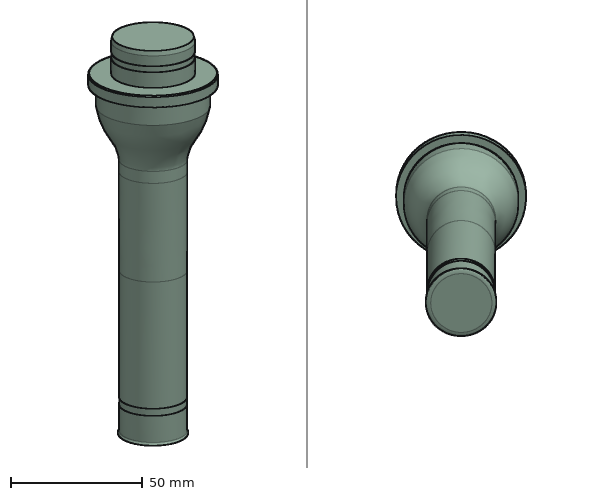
import cadquery as cq

total_height = 162.0

plug_radius = 16.0
plug_edge_height = 1.8
plug_edge_inset = 0.5
plug_band_radius = 15.9
plug_band_top = total_height - 6.2
plug_band_height = 2.5
plug_height = 14.9

flange_radius = 24.8
flange_thickness = 4.7
flange_chamfer = 0.5
flange_top = total_height - plug_height
joint_height = flange_top - flange_thickness

head_radius = 21.9
head_top_radius = 43.0 / 2
head_chamfer_height = 0.8
head_straight_height = 8.3
shoulder_top = joint_height - head_straight_height

shoulder_height = 22.0
neck_radius = 13.1
shoulder_curve = [(18.3, 10.2), (14.4, 16.7), (13.5, 20.0)]
neck_top = shoulder_top - shoulder_height
neck_height = 4.9
neck_bottom = neck_top - neck_height

shaft_radius = 26.1 / 2
taper_height = 40.2
taper_bottom = neck_bottom - taper_height
shaft_band_depth = 0.08
shaft_band_bottom = 12.5
shaft_band_height = 2.9

lip_radius = 13.5
lip_top = 1.8
lip_height = 1.0
foot_radius = 11.7


def revolve_profile(profile):
    return profile.close().revolve(360, (0, 0, 0), (0, 1, 0))


def band_groove(outer_radius, inner_radius, bottom, height):
    """Ring of material removed to leave a recessed band."""
    ring = cq.Workplane("XY").workplane(offset=bottom)
    return ring.circle(outer_radius).circle(inner_radius).extrude(height)


def add_shoulder(profile):
    """Append the smooth curve from the head to the neck, ending vertical."""
    points = [(radius, shoulder_top - drop) for radius, drop in shoulder_curve]
    points.append((neck_radius, neck_top))
    head_tangent = (-0.2, -1)
    neck_tangent = (0, -1)
    return profile.spline(points, tangents=[head_tangent, neck_tangent], includeCurrent=True)


def add_foot(profile):
    """Append the lip that swells out from the shaft and rounds under into the flat end."""
    points = [(lip_radius, lip_height), (foot_radius, 0)]
    return profile.spline(points, tangents=[(0, -1), (-1, 0)], includeCurrent=True)


def make_plug():
    """Plug and flange, resting on the head of the handle."""
    profile = (
        cq.Workplane("XZ")
        .moveTo(0, joint_height)
        .lineTo(flange_radius, joint_height)
        .lineTo(flange_radius, flange_top - flange_chamfer)
        .lineTo(flange_radius - flange_chamfer, flange_top)
        .lineTo(plug_radius, flange_top)
        .lineTo(plug_radius, total_height - plug_edge_height)
        .lineTo(plug_radius - plug_edge_inset, total_height)
        .lineTo(0, total_height)
    )
    band_bottom = plug_band_top - plug_band_height
    groove = band_groove(flange_radius, plug_band_radius, band_bottom, plug_band_height)
    return revolve_profile(profile).cut(groove)


def make_handle():
    """Head, shoulder, shaft and foot."""
    profile = (
        cq.Workplane("XZ")
        .moveTo(0, joint_height)
        .lineTo(head_top_radius, joint_height)
        .lineTo(head_radius, joint_height - head_chamfer_height)
        .lineTo(head_radius, shoulder_top)
    )
    profile = (
        add_shoulder(profile)
        .lineTo(neck_radius, neck_bottom)
        .lineTo(shaft_radius, taper_bottom)
        .lineTo(shaft_radius, lip_top)
    )
    profile = add_foot(profile).lineTo(0, 0)
    band_radius = shaft_radius - shaft_band_depth
    groove = band_groove(head_radius, band_radius, shaft_band_bottom, shaft_band_height)
    return revolve_profile(profile).cut(groove)


plug = make_plug()
handle = make_handle()

result = cq.Compound.makeCompound([plug.val(), handle.val()])